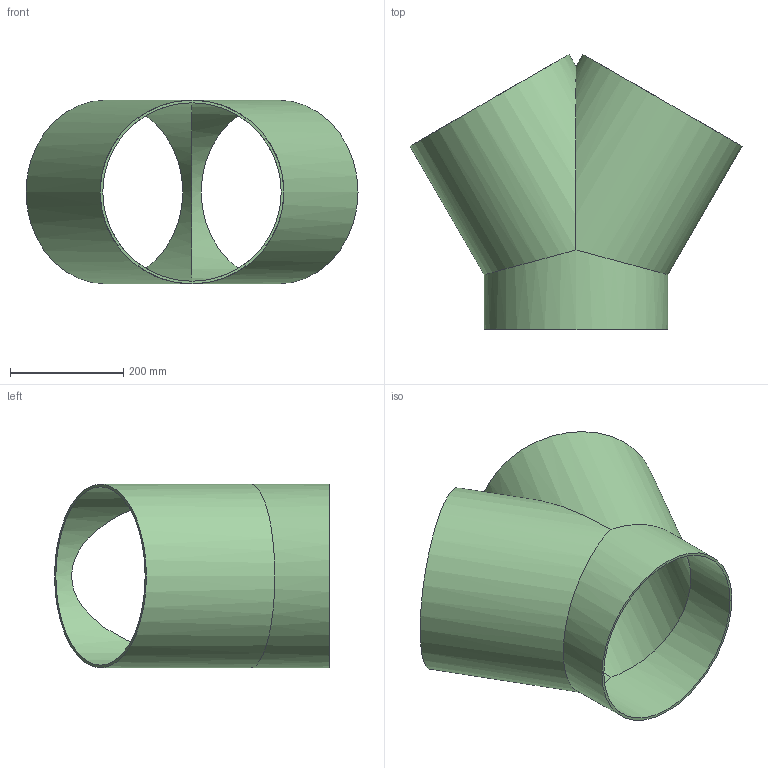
import cadquery as cq
import math

outer_diameter = 323.85
inner_diameter = 314.71
inlet_length = 139.7
outlet_length = 304.8
outlet_angle = 30.0

mitre_slope = math.tan(math.radians(outlet_angle / 2))
reach = 2 * (outlet_length + outer_diameter)


def wedge(points):
    """Tall prism over an XY outline, used to trim a leg at its mitre planes."""
    return cq.Workplane("XY").polyline(points).close().extrude(reach, both=True)


def inlet(diameter):
    """Solid cylinder of the inlet, ending at the two mitres with the outlets."""
    blank = cq.Workplane("XZ", origin=(0, diameter, 0)).circle(diameter / 2)
    blank = blank.extrude(diameter + inlet_length)
    mitre_drop = reach * mitre_slope
    return blank.intersect(wedge([
        (0, 0),
        (reach, -mitre_drop),
        (reach, -reach),
        (-reach, -reach),
        (-reach, -mitre_drop),
    ]))


def outlet(diameter):
    """Solid cylinder of the +X outlet, trimmed by the inlet mitre and the YZ plane."""
    blank = cq.Workplane("XZ", origin=(0, outlet_length, 0)).circle(diameter / 2)
    blank = blank.extrude(outlet_length + diameter)
    blank = blank.rotate((0, 0, 0), (0, 0, 1), -outlet_angle)
    return blank.intersect(wedge([
        (0, 0),
        (reach, -reach * mitre_slope),
        (reach, reach),
        (0, reach),
    ]))


def filled_fitting(diameter):
    """All three legs at one diameter, joined into a single filled body."""
    right_outlet = outlet(diameter)
    left_outlet = right_outlet.mirror("YZ")
    return inlet(diameter).union(right_outlet).union(left_outlet)


result = filled_fitting(outer_diameter).cut(filled_fitting(inner_diameter))